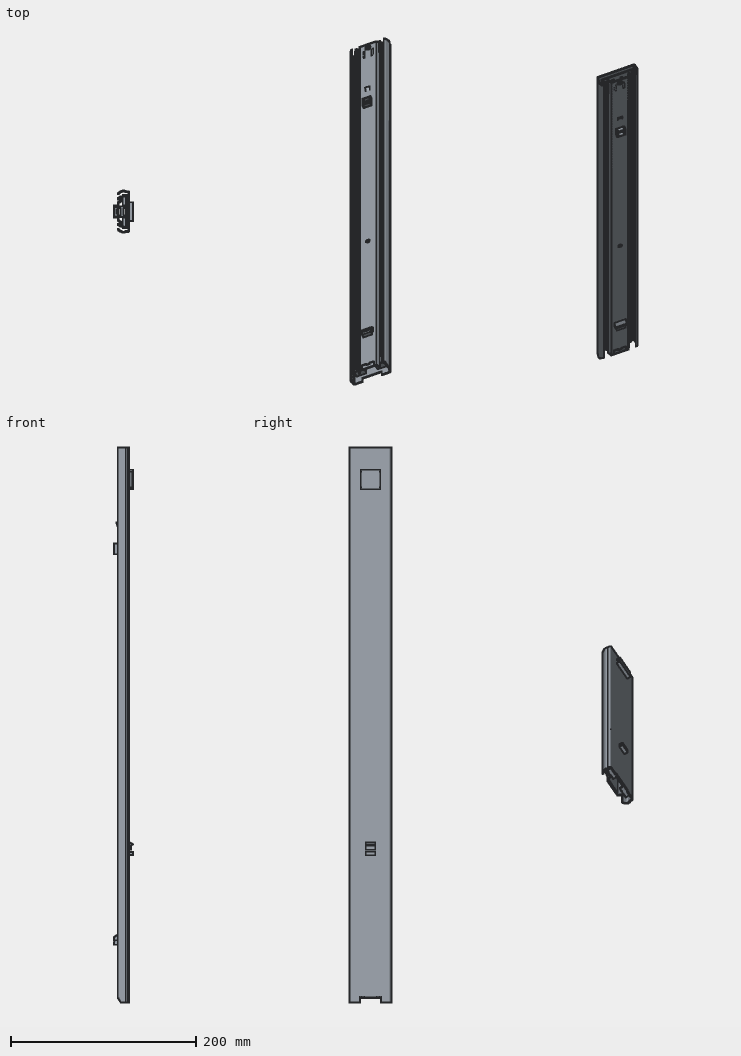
import cadquery as cq
import math


rail_length = 600.0
rail_top = rail_length / 2
rail_bottom = -rail_length / 2
slide_height = 45.7
slide_thickness = 12.7
overall_depth = 20.85
sheet = 1.2

body_front = -slide_thickness / 2
body_back = slide_thickness / 2
hook_front = -overall_depth / 2
hook_back = overall_depth / 2

race_half_chord = 2.7
race_half_angle = 28.0
corner_radius = 1.9
lip_slope = 30.0
lip_radius = 2.6
outer_notch_half_width = 11.2
outer_notch_depth = 6.0
lip_cut_length = 5.5
lip_cut_depth = 3.4
stop_lug_y = (6.5, 18.0)
stop_lug_z = (-288.0, -282.5)
stop_lug_depth = 6.0

middle_top = 296.8
middle_bottom = -279.5
middle_web_front = 2.2
middle_tip_x = -4.6
middle_tip_y = 16.0
middle_flange_lean = 0.25

inner_web_half = 10.0
inner_step = 4.05
inner_slope_width = 2.3
inner_half_width = 14.5
inner_bottom = -295.4
inner_flange_bottom = -288.0
inner_corner = 3.0
top_hole_z = 293.2
top_hole_diameter = 6.5
middle_hole_z = -62.5
middle_hole_diameter = 4.6
countersink_step = 1.0

upper_hook_z = (184.5, 196.5)
upper_hook_half_width = 4.8
upper_hook_window = 6.6

lower_hook_z = (-237.5, -226.5)
lower_hook_half_width = 6.7
lower_hook_neck_half_width = 5.2
lower_hook_neck_height = 5.0
lower_hook_bevel_height = 2.8
lower_hook_neck_rise = 3.5

catch_z = (214.0, 219.0)
catch_half_width = 2.6
catch_rise = 1.6

rear_hook_z = (255.0, 276.0)
rear_hook_half_width = 10.3
rear_hook_wall = 2.2
rear_hook_ramp = 6.25
lug_half_width = 5.0
upper_lug_z = (-135.0, -126.5)
upper_lug_peak_z = -129.0
upper_lug_rise = 2.0
lower_lug_z = (-140.5, -137.0)

top_stop_half_width = 6.0
top_stop_flange = 2.2
top_stop_waist = 3.0
top_stop_length = 12.0

bottom_stop_half_width = 7.0
bottom_stop_height = 8.0
bottom_stop_dip_half_width = 2.0
bottom_stop_dip = 1.8

bumper_y = (12.9, 14.7)
bumper_z = (279.5, 298.0)


def block(x_range, y_range, z_range):
    """Box between pairs of X, Y and Z limits."""
    sizes = [high - low for low, high in (x_range, y_range, z_range)]
    corner = (x_range[0], y_range[0], z_range[0])
    return cq.Workplane("XY").box(*sizes, centered=False).translate(corner)


def centered_block(x_range, half_width, z_range):
    """Box centred on Y = 0."""
    return block(x_range, (-half_width, half_width), z_range)


def extrude_section(section, z_low, z_high):
    """Closed XY section run along Z."""
    return section.close().extrude(z_high - z_low).translate((0, 0, z_low))


def mirrored(half):
    """Half a rail joined to its reflection in the XZ plane."""
    return half.union(half.mirror("XZ"))


def make_outer_rail():
    """C-shaped rail: web at the back, bulged raceway flanges and inturned lips at the front."""
    angle = math.radians(race_half_angle)
    race_radius = race_half_chord / math.sin(angle)
    race_rise = race_radius * (1 - math.cos(angle))
    peak_y = slide_height / 2
    flat_y = peak_y - race_rise

    lip_bend_x = body_front + lip_radius * (1 - math.sin(math.radians(lip_slope)))
    lip_bend_y = flat_y - (-race_half_chord - lip_bend_x) * math.tan(math.radians(lip_slope))
    lip_front_y = lip_bend_y - lip_radius * math.cos(math.radians(lip_slope))
    bend_middle = math.radians(90 - lip_slope) / 2
    bend_center_x = body_front + lip_radius
    bend_middle_x = bend_center_x - lip_radius * math.cos(bend_middle)
    bend_middle_y = lip_front_y + lip_radius * math.sin(bend_middle)

    corner_reach = corner_radius * (1 - math.sqrt(0.5))
    path = (
        cq.Workplane("XY")
        .moveTo(body_back, 0)
        .lineTo(body_back, flat_y - corner_radius)
        .threePointArc(
            (body_back - corner_reach, flat_y - corner_reach),
            (body_back - corner_radius, flat_y),
        )
        .lineTo(race_half_chord, flat_y)
        .threePointArc((0, peak_y), (-race_half_chord, flat_y))
        .lineTo(lip_bend_x, lip_bend_y)
        .threePointArc((bend_middle_x, bend_middle_y), (body_front, lip_front_y))
    )
    inner_radius = lip_radius - sheet
    inner_race_radius = race_radius - sheet
    inner_half_chord = inner_race_radius * math.sin(angle)
    inner_flat_y = flat_y - sheet
    inner_peak_y = peak_y - sheet
    inner_race_end_y = peak_y - race_radius + inner_race_radius * math.cos(angle)
    slope_normal = math.radians(90 - lip_slope)
    section = (
        path.lineTo(body_front + sheet, lip_front_y)
        .threePointArc(
            (bend_center_x - inner_radius * math.cos(bend_middle),
             lip_front_y + inner_radius * math.sin(bend_middle)),
            (bend_center_x - inner_radius * math.cos(slope_normal),
             lip_front_y + inner_radius * math.sin(slope_normal)),
        )
        .lineTo(-inner_half_chord, inner_race_end_y)
        .threePointArc((0, inner_peak_y), (inner_half_chord, inner_race_end_y))
        .lineTo(race_half_chord, inner_flat_y)
        .lineTo(body_back - corner_radius, inner_flat_y)
        .lineTo(body_back - sheet, flat_y - corner_radius)
        .lineTo(body_back - sheet, 0)
    )
    half = extrude_section(section, rail_bottom, rail_top)
    lug = block((body_back - sheet - stop_lug_depth, body_back - sheet), stop_lug_y, stop_lug_z)
    rail = mirrored(half.union(lug))

    notch = centered_block(
        (body_back - sheet, body_back),
        outer_notch_half_width,
        (rail_bottom, rail_bottom + outer_notch_depth),
    )
    lip_cut = (
        cq.Workplane("XZ")
        .polyline([
            (body_front, rail_bottom),
            (body_front + lip_cut_depth, rail_bottom),
            (body_front, rail_bottom + lip_cut_length),
        ])
        .close()
        .extrude(slide_height / 2, both=True)
    )
    rail = rail.cut(notch).cut(lip_cut)
    return rail.union(make_rear_hook()).union(make_rear_lugs())


def make_rear_hook():
    """Raised block on the back of the outer web, with a ramped hook opening on each Y side."""
    hook = centered_block((body_back, hook_back), rear_hook_half_width, rear_hook_z)
    opening_height = rear_hook_z[1] - rear_hook_z[0] - 2 * rear_hook_wall
    opening = (
        cq.Workplane("XY")
        .polyline([
            (body_back, rear_hook_half_width),
            (hook_back - sheet, rear_hook_half_width),
            (body_back, rear_hook_half_width - rear_hook_ramp),
        ])
        .close()
        .extrude(opening_height)
        .translate((0, 0, rear_hook_z[0] + rear_hook_wall))
    )
    return hook.cut(opening).cut(opening.mirror("XZ"))


def make_rear_lugs():
    """Low lug with a pointed catch, above a plain lug."""
    low, high = upper_lug_z
    shelf_x = body_back + upper_lug_rise
    upper = (
        cq.Workplane("XZ")
        .polyline([
            (body_back, low),
            (shelf_x, low),
            (shelf_x, upper_lug_peak_z - sheet),
            (hook_back, upper_lug_peak_z),
            (body_back, high),
        ])
        .close()
        .extrude(lug_half_width, both=True)
    )
    lower = centered_block((body_back, hook_back), lug_half_width, lower_lug_z)
    return upper.union(lower)


def make_middle_rail():
    """Shallow channel whose flanges lean inward toward -X."""
    web_back = middle_web_front + sheet
    root_y = middle_tip_y + middle_flange_lean * (web_back - middle_tip_x)
    wall = sheet * math.hypot(1, middle_flange_lean)
    inside_root_y = middle_tip_y - wall + middle_flange_lean * (middle_web_front - middle_tip_x)
    section = cq.Workplane("XY").polyline([
        (web_back, 0),
        (web_back, root_y),
        (middle_tip_x, middle_tip_y),
        (middle_tip_x, middle_tip_y - wall),
        (middle_web_front, inside_root_y),
        (middle_web_front, 0),
    ])
    return mirrored(extrude_section(section, middle_bottom, middle_top))


def make_inner_rail():
    """Hat-shaped rail: raised web at the front, sloped sides and flat side flanges."""
    slope_y = inner_web_half + inner_slope_width
    slope_length = math.hypot(inner_step, inner_slope_width)
    inside_shift = sheet * (slope_length - inner_slope_width) / inner_step
    flange_x = body_front + inner_step
    section = cq.Workplane("XY").polyline([
        (body_front, 0),
        (body_front, inner_web_half),
        (flange_x, slope_y),
        (flange_x, inner_half_width),
        (flange_x + sheet, inner_half_width),
        (flange_x + sheet, slope_y - inside_shift),
        (body_front + sheet, inner_web_half - inside_shift),
        (body_front + sheet, 0),
    ])
    half = extrude_section(section, inner_bottom, rail_top)
    flange_end = block(
        (flange_x, flange_x + sheet),
        (slope_y, inner_half_width),
        (inner_bottom, inner_flange_bottom),
    )
    rail = mirrored(half.cut(flange_end))

    top_corners = (
        cq.Workplane("YZ")
        .polyline([
            (inner_half_width, rail_top),
            (inner_half_width - inner_corner, rail_top),
            (inner_half_width, rail_top - inner_corner),
        ])
        .close()
        .extrude(slide_thickness, both=True)
    )
    rail = rail.cut(top_corners).cut(top_corners.mirror("XZ"))

    for hole_z, diameter in ((top_hole_z, top_hole_diameter), (middle_hole_z, middle_hole_diameter)):
        hole = (
            cq.Workplane("YZ")
            .center(0, hole_z)
            .circle(diameter / 2)
            .workplane(offset=sheet)
            .circle(diameter / 2 - countersink_step)
            .loft()
            .translate((body_front, 0, 0))
        )
        rail = rail.cut(hole)
    rail = rail.cut(make_bottom_stop())
    return rail.union(make_upper_hook()).union(make_lower_hook()).union(make_catch())


def make_upper_hook():
    """Square box hook with a tall window in its front."""
    hook = centered_block((hook_front, body_front), upper_hook_half_width, upper_hook_z)
    window = centered_block(
        (hook_front, body_front),
        upper_hook_window / 2,
        (upper_hook_z[0] + sheet, upper_hook_z[1] - sheet),
    )
    return hook.cut(window)


def make_lower_hook():
    """Hook with a wide upper part, a narrower lower part, each bevelled at its upper end."""
    z_low, z_high = lower_hook_z
    neck_top = z_low + lower_hook_neck_height
    wide = (
        cq.Workplane("XZ")
        .polyline([
            (body_front, neck_top),
            (hook_front, neck_top),
            (hook_front, z_high - lower_hook_bevel_height),
            (body_front, z_high),
        ])
        .close()
        .extrude(lower_hook_half_width, both=True)
    )
    neck = (
        cq.Workplane("XZ")
        .polyline([
            (body_front, z_low),
            (hook_front, z_low),
            (hook_front, neck_top - lower_hook_bevel_height),
            (body_front - lower_hook_neck_rise, neck_top),
            (body_front, neck_top),
        ])
        .close()
        .extrude(lower_hook_neck_half_width, both=True)
    )
    return wide.union(neck)


def make_catch():
    """Small wedge rising from the inner web, highest at its upper end."""
    return (
        cq.Workplane("XZ")
        .polyline([
            (body_front, catch_z[0]),
            (body_front, catch_z[1]),
            (body_front - catch_rise, catch_z[1]),
        ])
        .close()
        .extrude(catch_half_width, both=True)
    )


def make_top_stop():
    """I-shaped stop filling the space between the inner and middle webs."""
    depth = (body_front + sheet, middle_web_front)
    z_high = top_hole_z - top_hole_diameter / 2
    z_range = (z_high - top_stop_length, z_high)
    stop = centered_block(depth, top_stop_half_width, z_range)
    waist_half = top_stop_half_width - top_stop_flange
    waist_middle = sum(depth) / 2
    waist_front = waist_middle - top_stop_waist / 2
    waist_back = waist_middle + top_stop_waist / 2
    for side_gap in ((depth[0], waist_front), (waist_back, depth[1])):
        stop = stop.cut(centered_block(side_gap, waist_half, z_range))
    return stop


def make_bottom_stop():
    """Plate flush with the inner web at its lower end, with a dip in its upper edge."""
    depth = (body_front, body_front + sheet)
    z_high = inner_bottom + bottom_stop_height
    plate = centered_block(depth, bottom_stop_half_width, (inner_bottom, z_high))
    dip = centered_block(depth, bottom_stop_dip_half_width, (z_high - bottom_stop_dip, z_high))
    return plate.cut(dip)


def make_side_bumper(side):
    """Strip on one inner rail flange; side is +1 for +Y and -1 for -Y."""
    flange_x = body_front + inner_step
    y_range = sorted(side * y for y in bumper_y)
    return block((body_front, flange_x), y_range, bumper_z)


outer_rail = make_outer_rail()
middle_rail = make_middle_rail()
inner_rail = make_inner_rail()
top_stop = make_top_stop()
bottom_stop = make_bottom_stop()
side_bumpers = [make_side_bumper(side) for side in (1, -1)]

result = cq.Compound.makeCompound([
    outer_rail.val(),
    middle_rail.val(),
    inner_rail.val(),
    top_stop.val(),
    bottom_stop.val(),
    *[bumper.val() for bumper in side_bumpers],
])